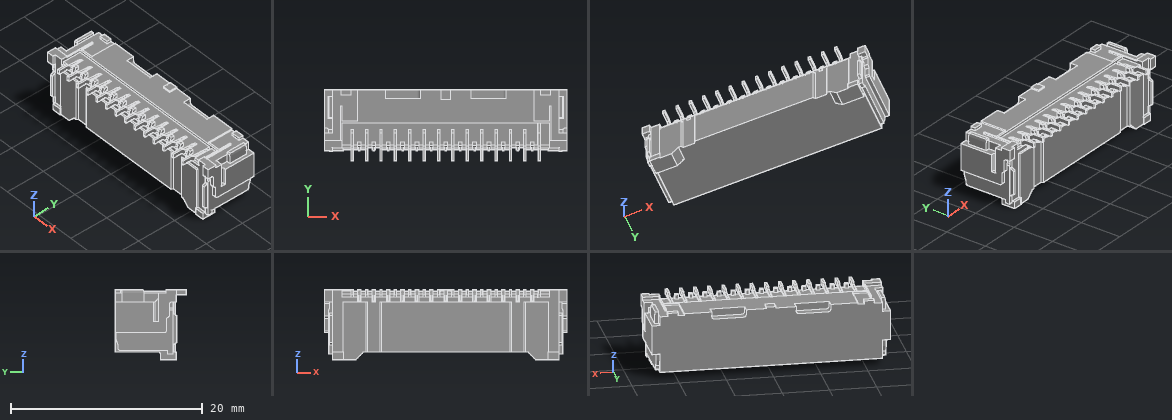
import cadquery as cq


TOTAL_LENGTH = 25.3
TOTAL_REACH = 7.4
TOTAL_DEPTH = 7.3

BODY_HALF = 11.8
BODY_TOP = 0.15
BODY_BOTTOM = 6.5
POST_REACH = 6.05
PANEL_REACH = 6.27
CORNER_REACH = 6.37
POST_INNER = 10.8
PANEL_HALF = 10.7
PANEL_TOP = 1.28

CORNER_TOP = 0.32
CORNER_INNER = 9.2
CORNER_RUN = 3.25
LEDGE_START = 3.47
LEDGE_TOP = 0.46
SHELF_START = 5.76
SHELF_TOP = 0.77
WALL_WIDTH = 0.15
WALL_START = 1.68

BLOCK_START = 5.27

GROOVE_INNER = 6.68
GROOVE_OUTER = 8.3
GROOVE_DRAFT = 0.17

FOOT_START = 4.7
FOOT_CHAMFER = 0.15
FOOT_TIP = 9.37
FOOT_ROOT = 8.57
FOOT_BLOCK_INNER = 10.65

NOTCH_INNER = 2.65
NOTCH_OUTER = 6.3
NOTCH_REACH = 0.93
NOTCH_FLOOR = 0.95
NOTCH_RADIUS = 0.3
BUMP_INNER = 9.85
BUMP_OUTER = 10.93
BUMP_REACH = 0.57
KEY_HALF = 0.5
KEY_REACH = 1.0

PLATE_HALF = 12.2
PLATE_BACK = 0.05
PLATE_REACH = 6.0
PLATE_BOTTOM = 6.33
PLATE_TAPER_TOP = 4.5
PLATE_TAPER_MIDDLE = 5.2
PLATE_TAPER_BOTTOM = 5.8
PLATE_TAPER_SMALL = 0.05
PLATE_TAPER_LARGE = 0.2
PLATE_CORNER = 0.14
LEG_BACK = 5.45
LEG_BOTTOM = 6.72
STEP_HALF = 12.1
STEP_BOTTOM = 1.9
STEP_RAMP_BOTTOM = 2.13

OUTER_HALF = TOTAL_LENGTH / 2
OUTER_TOP = 1.28
OUTER_BOTTOM = 4.47
SHOULDER_REACH = 5.65
SHOULDER_TOP = 2.75
SHOULDER_BOTTOM = 3.0
SHOULDER_CORNER = 0.15
OUTER_REACH = 5.34
OUTER_CORNER = 0.15
SLIT_START = 3.97
SLIT_END = 4.5
SLIT_BOTTOM = 3.3
SLIT_BEND_HALF = 12.4
SLIT_DRAFT = 0.16
SLIT_RAMP_TOP = 0.9

TAB_HALF = 12.25
TAB_TOP_HALF = 12.17
TAB_BEVEL = 0.38
TAB_CORNER = 0.13
TAB_START = 0.7
TAB_END = 3.0
RIDGE_OUTER = 12.1
RIDGE_REACH = 6.43
RIDGE_TOP = 2.7
RIDGE_BOTTOM = 5.5
RIDGE_BEVEL = 0.28

PIN_COUNT = 14
PIN_PITCH = 1.5
PIN_WIDTH = 0.25
ROOT_DEPTH = 1.0
ROOT_BOW_REACH = 3.72
ROOT_BOW_DEPTH = 0.66
ROOT_END = 4.14
ARM_START = 4.5
ARM_END = 5.04
ARM_DEPTH = 0.34
KNEE_REACH = 5.87
KNEE_DEPTH = 0.26
TAIL_START = 6.2
TAIL_UNDERSIDE = 6.3
TAIL_THICKNESS = 0.55
LAST_SLOT_MARGIN = 0.06

RIB_WIDTH = 0.38
RIB_BACK = 5.42
RIB_CREST_END = 5.8
NOSE_WIDTH = 0.16
NOSE_BACK = 6.01
NOSE_TOP = 0.58
NOSE_LIP = 1.2


def block(x0, x1, back, front, top, bottom):
    """Box given by its X limits, its reach limits and its depth limits."""
    return (
        cq.Workplane("XY")
        .box(x1 - x0, front - back, bottom - top, centered=False)
        .translate((x0, -front, -bottom))
    )


def side_profile(points, x0, x1):
    """Outline of (reach, depth) points, extruded from x0 to x1."""
    outline = [(-reach, -depth) for reach, depth in points]
    return cq.Workplane("YZ").polyline(outline).close().extrude(x1 - x0).translate((x0, 0, 0))


def front_profile(points, back, front):
    """Outline of (x, depth) points, extruded between two reaches."""
    outline = [(x, -depth) for x, depth in points]
    return cq.Workplane("XZ").polyline(outline).close().extrude(front - back).translate((0, -back, 0))


def plan_profile(points, top, bottom):
    """Outline of (x, reach) points, extruded between two depths."""
    outline = [(x, -reach) for x, reach in points]
    return cq.Workplane("XY").polyline(outline).close().extrude(bottom - top).translate((0, 0, -bottom))


def both_ends(shape):
    """The shape at the +X end together with its mirror image at the -X end."""
    return shape.union(shape.mirror("YZ"))


def make_body():
    body = block(-BODY_HALF, BODY_HALF, 0, POST_REACH, BODY_TOP, BODY_BOTTOM)
    panel = block(-PANEL_HALF, PANEL_HALF, POST_REACH, PANEL_REACH, PANEL_TOP, BODY_BOTTOM)
    body = body.union(panel)
    ledge = block(-POST_INNER, POST_INNER, LEDGE_START, POST_REACH, 0, LEDGE_TOP)
    shelf = block(-POST_INNER, POST_INNER, SHELF_START, POST_REACH, 0, SHELF_TOP)
    return body.cut(ledge).cut(shelf)


def lowered_end_top():
    """Material removed to lower the top at each end, leaving the thin wall standing."""
    corner = block(CORNER_INNER, BODY_HALF, 0, CORNER_RUN, 0, CORNER_TOP)
    rim = block(POST_INNER, BODY_HALF, 0, POST_REACH, 0, CORNER_TOP)
    wall = block(POST_INNER, POST_INNER + WALL_WIDTH, WALL_START, POST_REACH, 0, CORNER_TOP)
    return both_ends(corner.union(rim).cut(wall))


def panel_grooves():
    groove = plan_profile(
        [
            (GROOVE_INNER, PANEL_REACH),
            (GROOVE_INNER + GROOVE_DRAFT, POST_REACH),
            (GROOVE_OUTER - GROOVE_DRAFT, POST_REACH),
            (GROOVE_OUTER, PANEL_REACH),
        ],
        PANEL_TOP,
        BODY_BOTTOM,
    )
    return both_ends(groove)


def mating_notches():
    notch = block(NOTCH_INNER, NOTCH_OUTER, 0, NOTCH_REACH, 0, NOTCH_FLOOR)
    notch = notch.edges("|Y and <Z").fillet(NOTCH_RADIUS)
    return both_ends(notch)


def mating_bumps():
    bumps = both_ends(block(BUMP_INNER, BUMP_OUTER, 0, BUMP_REACH, 0, CORNER_TOP))
    key = block(-KEY_HALF, KEY_HALF, 0, KEY_REACH, 0, BODY_TOP)
    return bumps.union(key)


def feet():
    foot = front_profile(
        [
            (FOOT_ROOT, BODY_BOTTOM),
            (BODY_HALF, BODY_BOTTOM),
            (BODY_HALF, TOTAL_DEPTH),
            (FOOT_TIP, TOTAL_DEPTH),
        ],
        FOOT_START,
        PANEL_REACH,
    )
    foot_block = block(FOOT_BLOCK_INNER, BODY_HALF, FOOT_START, CORNER_REACH, BODY_BOTTOM, TOTAL_DEPTH)
    heel = side_profile(
        [
            (FOOT_START - FOOT_CHAMFER, BODY_BOTTOM),
            (FOOT_START, BODY_BOTTOM),
            (FOOT_START, BODY_BOTTOM + FOOT_CHAMFER),
        ],
        FOOT_TIP,
        BODY_HALF,
    )
    return both_ends(foot.union(foot_block).union(heel))


def corner_blocks():
    post_top = block(POST_INNER, BODY_HALF, BLOCK_START, POST_REACH, 0, CORNER_TOP)
    corner = block(BODY_HALF, OUTER_HALF, BLOCK_START, CORNER_REACH, 0, OUTER_TOP)
    return both_ends(post_top.union(corner))


def inner_plate():
    taper_start = PLATE_BACK + PLATE_TAPER_SMALL
    taper_end = taper_start + PLATE_TAPER_LARGE
    plate = side_profile(
        [
            (PLATE_BACK, OUTER_TOP),
            (PLATE_BACK, PLATE_TAPER_TOP),
            (taper_start, PLATE_TAPER_MIDDLE),
            (taper_end, PLATE_TAPER_BOTTOM),
            (taper_end, PLATE_BOTTOM - PLATE_CORNER),
            (taper_end + PLATE_CORNER, PLATE_BOTTOM),
            (LEG_BACK, PLATE_BOTTOM),
            (LEG_BACK, LEG_BOTTOM),
            (PLATE_REACH, LEG_BOTTOM),
            (PLATE_REACH, OUTER_TOP),
        ],
        BODY_HALF,
        PLATE_HALF,
    )
    thinning = front_profile(
        [
            (STEP_HALF, OUTER_TOP),
            (STEP_HALF, STEP_BOTTOM),
            (PLATE_HALF, STEP_RAMP_BOTTOM),
            (PLATE_HALF, OUTER_TOP),
        ],
        SHOULDER_REACH,
        PLATE_REACH,
    )
    return plate.cut(thinning)


def outer_plate():
    plate = side_profile(
        [
            (0, OUTER_TOP),
            (SLIT_END, OUTER_TOP),
            (SLIT_END, CORNER_TOP),
            (BLOCK_START, CORNER_TOP),
            (BLOCK_START, 0),
            (CORNER_REACH, 0),
            (CORNER_REACH, OUTER_TOP),
            (SHOULDER_REACH + SHOULDER_CORNER, OUTER_TOP),
            (SHOULDER_REACH, OUTER_TOP + SHOULDER_CORNER),
            (SHOULDER_REACH, SHOULDER_TOP),
            (OUTER_REACH, SHOULDER_BOTTOM),
            (OUTER_REACH, OUTER_BOTTOM - OUTER_CORNER),
            (OUTER_REACH - OUTER_CORNER, OUTER_BOTTOM),
            (0, OUTER_BOTTOM),
        ],
        BODY_HALF,
        OUTER_HALF,
    )
    slit = plan_profile(
        [
            (OUTER_HALF, SLIT_START),
            (SLIT_BEND_HALF, SLIT_START),
            (PLATE_HALF, SLIT_START + SLIT_DRAFT),
            (PLATE_HALF, SLIT_END),
            (OUTER_HALF, SLIT_END),
        ],
        OUTER_TOP,
        SLIT_BOTTOM,
    )
    ramp = side_profile(
        [
            (SLIT_START + SLIT_DRAFT, OUTER_TOP),
            (SLIT_END, SLIT_RAMP_TOP),
            (SLIT_END, OUTER_TOP),
        ],
        BODY_HALF,
        PLATE_HALF,
    )
    return plate.cut(slit).union(ramp)


def retainer_tab():
    tab = front_profile(
        [
            (BODY_HALF, 0),
            (TAB_TOP_HALF, 0),
            (TAB_HALF, TAB_BEVEL),
            (TAB_HALF, OUTER_TOP),
            (BODY_HALF, OUTER_TOP),
        ],
        TAB_START,
        TAB_END,
    )
    corner = side_profile(
        [(TAB_END - TAB_CORNER, 0), (TAB_END, TAB_CORNER), (TAB_END, 0)],
        BODY_HALF,
        TAB_HALF,
    )
    return tab.cut(corner)


def retainer_ridge():
    return side_profile(
        [
            (PLATE_REACH, RIDGE_TOP - RIDGE_BEVEL),
            (RIDGE_REACH, RIDGE_TOP),
            (RIDGE_REACH, RIDGE_BOTTOM),
            (PLATE_REACH, RIDGE_BOTTOM + RIDGE_BEVEL),
        ],
        BODY_HALF,
        RIDGE_OUTER,
    )


def retainers():
    retainer = inner_plate().union(outer_plate()).union(retainer_tab()).union(retainer_ridge())
    return both_ends(retainer)


def last_pin_slot(x):
    """Slot in the ledge that bares the curved root of the last pin."""
    right = x + PIN_WIDTH / 2
    left = x - PIN_WIDTH / 2 - LAST_SLOT_MARGIN
    return block(left, right, LEDGE_START, SHELF_START, LEDGE_TOP, ROOT_DEPTH)


def make_pin(x):
    """Pin that curves up out of the housing, runs along the ledge and ends in a solder tail."""
    outline = (
        cq.Workplane("YZ")
        .moveTo(-LEDGE_START, -ROOT_DEPTH)
        .threePointArc((-ROOT_BOW_REACH, -ROOT_BOW_DEPTH), (-ROOT_END, -LEDGE_TOP))
        .lineTo(-ARM_START, -ARM_DEPTH)
        .lineTo(-ARM_END, -ARM_DEPTH)
        .lineTo(-KNEE_REACH, -KNEE_DEPTH)
        .lineTo(-TAIL_START, 0)
        .lineTo(-TOTAL_REACH, 0)
        .lineTo(-TOTAL_REACH, -TAIL_THICKNESS)
        .lineTo(-TAIL_UNDERSIDE, -TAIL_THICKNESS)
        .lineTo(-POST_REACH, -SHELF_TOP)
        .lineTo(-SHELF_START, -SHELF_TOP)
        .lineTo(-SHELF_START, -ROOT_DEPTH)
        .close()
    )
    return outline.extrude(PIN_WIDTH).translate((x - PIN_WIDTH / 2, 0, 0))


def make_rib(x):
    """Sloped rib with a narrow nose on its front."""
    rib = side_profile(
        [
            (RIB_BACK, SHELF_TOP),
            (RIB_BACK, 0),
            (RIB_CREST_END, 0),
            (PANEL_REACH, PANEL_TOP),
            (RIB_CREST_END, PANEL_TOP),
        ],
        x - RIB_WIDTH / 2,
        x + RIB_WIDTH / 2,
    )
    nose = side_profile(
        [
            (NOSE_BACK, NOSE_TOP),
            (CORNER_REACH, NOSE_LIP),
            (CORNER_REACH, PANEL_TOP),
            (POST_REACH, PANEL_TOP),
        ],
        x - NOSE_WIDTH / 2,
        x + NOSE_WIDTH / 2,
    )
    return rib.union(nose)


housing = make_body().cut(lowered_end_top()).cut(panel_grooves()).cut(mating_notches())
housing = housing.union(mating_bumps()).union(feet()).union(corner_blocks()).union(retainers())

first_pin_x = -PIN_PITCH * (PIN_COUNT - 1) / 2
housing = housing.cut(last_pin_slot(-first_pin_x))
for index in range(PIN_COUNT):
    pin_x = first_pin_x + index * PIN_PITCH
    housing = housing.union(make_pin(pin_x))
    if index < PIN_COUNT - 1:
        housing = housing.union(make_rib(pin_x + PIN_PITCH / 2))

result = housing